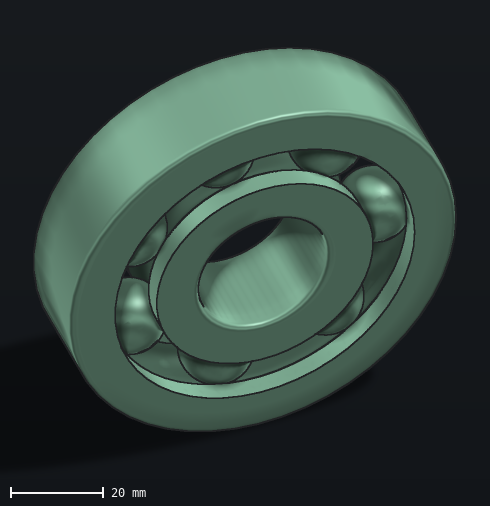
import cadquery as cq

outer_diameter = 90.0
bore_diameter = 30.0
width = 23.0
edge_radius = 1.5

inner_shoulder_diameter = 50.3
outer_shoulder_diameter = 69.7

ball_count = 7
ball_diameter = 16.7
pitch_radius = (inner_shoulder_diameter + outer_shoulder_diameter) / 4
ball_pitch_angle = 360 / ball_count


def make_ring(large_diameter, small_diameter):
    """Plain ring centred on the origin, with its axis along X."""
    return (
        cq.Workplane("YZ", origin=(-width / 2, 0, 0))
        .circle(large_diameter / 2)
        .circle(small_diameter / 2)
        .extrude(width)
    )


def make_raceway():
    """Torus swept by the balls, which cuts the groove in each ring."""
    return cq.Workplane(cq.Solid.makeTorus(
        pitch_radius, ball_diameter / 2, cq.Vector(0, 0, 0), cq.Vector(1, 0, 0)
    ))


def make_outer_ring():
    """Outer ring with rounded outside edges and a raceway in its bore."""
    ring = make_ring(outer_diameter, outer_shoulder_diameter)
    outside_edges = cq.selectors.RadiusNthSelector(-1)
    return ring.edges(outside_edges).fillet(edge_radius).cut(make_raceway())


def make_inner_ring():
    """Inner ring with rounded bore edges and a raceway around its outside."""
    ring = make_ring(inner_shoulder_diameter, bore_diameter)
    bore_edges = cq.selectors.RadiusNthSelector(0)
    return ring.edges(bore_edges).fillet(edge_radius).cut(make_raceway())


def make_ball(angle):
    """Ball on the pitch circle, turned about X by an angle measured from +Y."""
    return (
        cq.Workplane("XY")
        .sphere(ball_diameter / 2)
        .translate((0, pitch_radius, 0))
        .rotate((0, 0, 0), (1, 0, 0), angle)
    )


outer_ring = make_outer_ring()
inner_ring = make_inner_ring()
balls = [make_ball(index * ball_pitch_angle) for index in range(ball_count)]

result = cq.Compound.makeCompound([
    outer_ring.val(),
    inner_ring.val(),
    *[ball.val() for ball in balls],
])